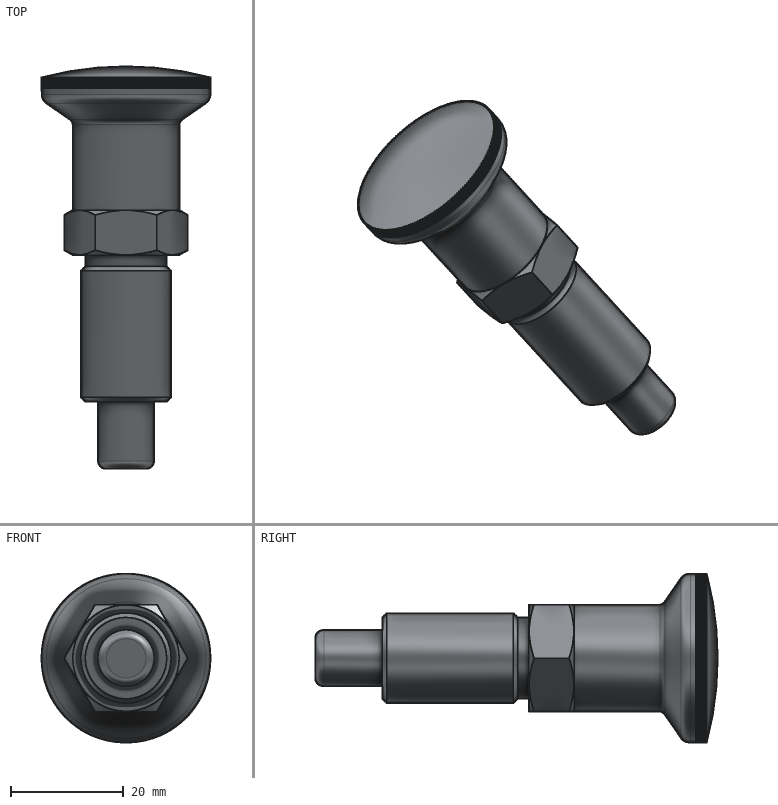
import cadquery as cq
import math

LENGTH = 71.4
TIP_Y = -LENGTH / 2
DOME_TOP_Y = LENGTH / 2

PIN_RADIUS = 5.0
PIN_TIP_FILLET = 1.5
PIN_LENGTH = 11.9

GUIDE_RADIUS = 8.0
GUIDE_CHAMFER = 0.8
GUIDE_LENGTH = 24.0
NECK_LENGTH = 2.0
HEX_SIDES = 6
HEX_ACROSS_FLATS = 19.0
HEX_LENGTH = 8.0
HEX_FACE_RADIUS = 9.4
HEX_CHAMFER_ANGLE = 30.0
CHAMFER_CLEARANCE = 0.7

GUIDE_END_Y = TIP_Y + PIN_LENGTH
NECK_END_Y = GUIDE_END_Y + GUIDE_LENGTH + NECK_LENGTH
HEX_TOP_Y = NECK_END_Y + HEX_LENGTH
HEX_CORNER_RADIUS = HEX_ACROSS_FLATS / 2 / math.cos(math.pi / HEX_SIDES)

SLEEVE_RADIUS = HEX_ACROSS_FLATS / 2
RIM_RADIUS = 15.0
DOME_HEIGHT = 1.9
KNURL_WIDTH = 2.0
RIM_LAND = 1.0
RIM_ROUND_HEIGHT = 1.65
RIM_ROUND_DEPTH = 0.85
FLARE_HEIGHT = 2.85
FLARE_BASE_RADIUS = 10.0
SLEEVE_BLEND_HEIGHT = 0.85
KNURL_TEETH = 180
KNURL_DEPTH = 0.2

KNURL_TOP_Y = DOME_TOP_Y - DOME_HEIGHT
KNURL_BOTTOM_Y = KNURL_TOP_Y - KNURL_WIDTH
RIM_ROUND_TOP_Y = KNURL_BOTTOM_Y - RIM_LAND
FLARE_TOP_Y = RIM_ROUND_TOP_Y - RIM_ROUND_HEIGHT
FLARE_BASE_Y = FLARE_TOP_Y - FLARE_HEIGHT
SLEEVE_TOP_Y = FLARE_BASE_Y - SLEEVE_BLEND_HEIGHT
KNURL_ROOT_RADIUS = RIM_RADIUS - KNURL_DEPTH


def revolve_about_y(profile):
    """Turn a closed radius-height profile drawn in XY all the way round the Y axis."""
    return profile.close().revolve(360, (0, 0, 0), (0, 1, 0))


def plane_facing_y(y):
    """Workplane at height y, normal along +Y."""
    return cq.Workplane(cq.Plane(origin=(0, y, 0), xDir=(1, 0, 0), normal=(0, 1, 0)))


def cylinder_along_y(radius, y, length):
    return plane_facing_y(y).circle(radius).extrude(length)


def polar_point(radius, angle):
    return (radius * math.cos(angle), radius * math.sin(angle))


def make_hexagon():
    """Hexagon with two flats facing +Z and -Z and its corners chamfered at both ends."""
    prism = plane_facing_y(NECK_END_Y).polygon(HEX_SIDES, 2 * HEX_CORNER_RADIUS).extrude(HEX_LENGTH)
    outer_radius = HEX_CORNER_RADIUS + CHAMFER_CLEARANCE
    chamfer_height = (outer_radius - HEX_FACE_RADIUS) * math.tan(math.radians(HEX_CHAMFER_ANGLE))
    envelope = revolve_about_y(
        cq.Workplane("XY")
        .moveTo(0, NECK_END_Y)
        .lineTo(HEX_FACE_RADIUS, NECK_END_Y)
        .lineTo(outer_radius, NECK_END_Y + chamfer_height)
        .lineTo(outer_radius, HEX_TOP_Y - chamfer_height)
        .lineTo(HEX_FACE_RADIUS, HEX_TOP_Y)
        .lineTo(0, HEX_TOP_Y)
    )
    return prism.intersect(envelope)


def make_guide():
    """Round guide, chamfered at both ends, with the undercut neck behind it."""
    guide = cylinder_along_y(GUIDE_RADIUS, GUIDE_END_Y, GUIDE_LENGTH).edges().chamfer(GUIDE_CHAMFER)
    neck = cylinder_along_y(GUIDE_RADIUS - GUIDE_CHAMFER, GUIDE_END_Y, GUIDE_LENGTH + NECK_LENGTH)
    return guide.union(neck)


def make_pin():
    """Locking pin with a rounded tip."""
    return cylinder_along_y(PIN_RADIUS, TIP_Y, PIN_LENGTH).faces("<Y").edges().fillet(PIN_TIP_FILLET)


def make_body():
    """Hexagon, guide and pin as one solid."""
    return make_hexagon().union(make_guide()).union(make_pin())


def make_knurl():
    """Band of straight flat-topped teeth, parted by V-grooves, around the rim."""
    pitch = 2 * math.pi / KNURL_TEETH
    points = []
    for tooth in range(KNURL_TEETH):
        middle = tooth * pitch
        points.append(polar_point(RIM_RADIUS, middle - pitch / 4))
        points.append(polar_point(RIM_RADIUS, middle + pitch / 4))
        points.append(polar_point(KNURL_ROOT_RADIUS, middle + pitch / 2))
    return plane_facing_y(KNURL_BOTTOM_Y).polyline(points).close().extrude(KNURL_WIDTH)


def make_dome():
    """Shallow spherical cap over the knurled band."""
    sphere_radius = (KNURL_ROOT_RADIUS ** 2 + DOME_HEIGHT ** 2) / (2 * DOME_HEIGHT)
    half_angle = math.asin(KNURL_ROOT_RADIUS / sphere_radius) / 2
    centre_y = DOME_TOP_Y - sphere_radius
    arc_middle = (sphere_radius * math.sin(half_angle), centre_y + sphere_radius * math.cos(half_angle))
    return revolve_about_y(
        cq.Workplane("XY")
        .moveTo(0, KNURL_TOP_Y)
        .lineTo(KNURL_ROOT_RADIUS, KNURL_TOP_Y)
        .threePointArc(arc_middle, (0, DOME_TOP_Y))
    )


def make_grip():
    """Rim, flared underside and sleeve of the knob."""
    return revolve_about_y(
        cq.Workplane("XY")
        .moveTo(0, KNURL_BOTTOM_Y)
        .lineTo(RIM_RADIUS, KNURL_BOTTOM_Y)
        .lineTo(RIM_RADIUS, RIM_ROUND_TOP_Y)
        .tangentArcPoint((RIM_RADIUS - RIM_ROUND_DEPTH, FLARE_TOP_Y), relative=False)
        .tangentArcPoint((FLARE_BASE_RADIUS, FLARE_BASE_Y), relative=False)
        .tangentArcPoint((SLEEVE_RADIUS, SLEEVE_TOP_Y), relative=False)
        .lineTo(SLEEVE_RADIUS, HEX_TOP_Y)
        .lineTo(0, HEX_TOP_Y)
    )


def make_knob():
    """Knob whose sleeve stands on the hexagon."""
    return make_grip().union(make_knurl()).union(make_dome())


body = make_body()
knob = make_knob()

result = cq.Compound.makeCompound([body.val(), knob.val()])